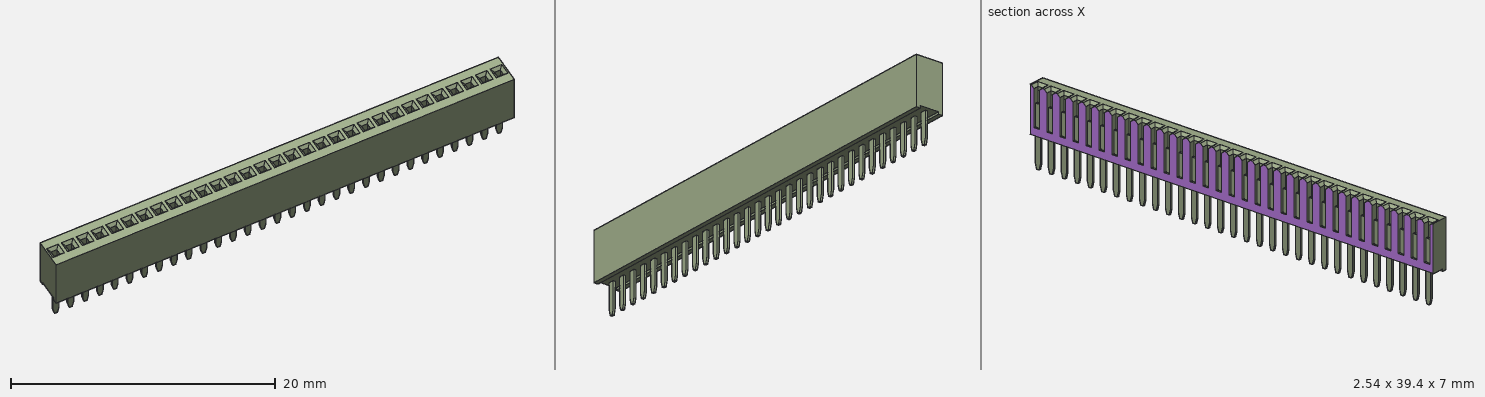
import cadquery as cq

pitch = 1.27
contact_count = 31
body_width = 2.54
body_length = pitch * contact_count
total_height = 7.0
body_height = 4.4

rail_width = 0.4
channel_depth = 0.2

funnel_mouth = 1.0
hole_size = 0.5
funnel_depth = (funnel_mouth - hole_size) / 2
hole_depth = 3.5

contact_thickness = 0.2
blade_width = 0.4
blade_height = 2.0
pin_width = 0.5
pin_tip_width = 0.25
pin_tip_length = 0.5

pin_length = total_height - body_height
body_top = body_height
first_contact_y = -pitch * (contact_count - 1) / 2
contact_spots = [(0, first_contact_y + i * pitch) for i in range(contact_count)]


def make_body():
    """Rectangular bar with a shallow full-length channel underneath."""
    bar = cq.Workplane("XY").box(body_width, body_length, body_height, centered=(True, True, False))
    channel_width = body_width - 2 * rail_width
    channel = cq.Workplane("XY").box(
        channel_width, body_length, channel_depth, centered=(True, True, False)
    )
    return bar.cut(channel)


def make_socket():
    """Tapered funnel and the straight contact hole below it, at X = Y = 0."""
    funnel = (
        cq.Workplane("XY", origin=(0, 0, body_top))
        .rect(funnel_mouth, funnel_mouth)
        .workplane(offset=-funnel_depth)
        .rect(hole_size, hole_size)
        .loft(ruled=True)
    )
    hole = cq.Workplane("XY").box(
        hole_size, hole_size, hole_depth, centered=(True, True, False)
    )
    return funnel.union(hole.translate((0, 0, body_top - hole_depth)))


def make_pin():
    """Flat pin below the channel roof, narrowing to a blunt tip, at X = Y = 0."""
    tip_start = -pin_length + pin_tip_length
    return (
        cq.Workplane("YZ")
        .moveTo(-pin_width / 2, channel_depth)
        .lineTo(pin_width / 2, channel_depth)
        .lineTo(pin_width / 2, tip_start)
        .lineTo(pin_tip_width / 2, -pin_length)
        .lineTo(-pin_tip_width / 2, -pin_length)
        .lineTo(-pin_width / 2, tip_start)
        .close()
        .extrude(contact_thickness / 2, both=True)
    )


def make_blade():
    """Contact blade standing on the floor of a hole, at X = Y = 0."""
    blade = cq.Workplane("XY").box(
        contact_thickness, blade_width, blade_height, centered=(True, True, False)
    )
    return blade.translate((0, 0, body_top - hole_depth))


def at_contacts(shape):
    """Copies of a shape at every contact position."""
    return cq.Workplane("XY").pushPoints(contact_spots).eachpoint(shape.val(), combine=False)


body = make_body().cut(at_contacts(make_socket()))
result = body.union(at_contacts(make_blade())).union(at_contacts(make_pin()))